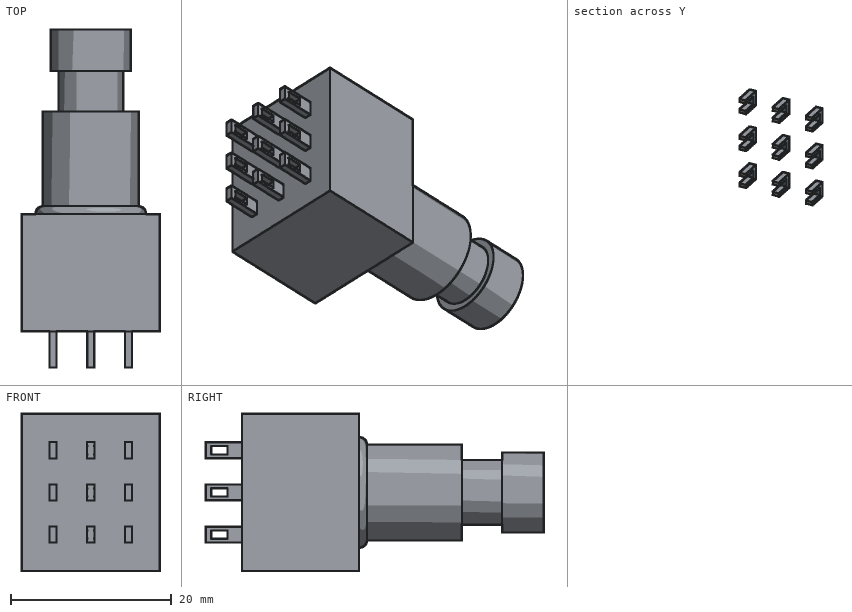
import cadquery as cq
import math


housing_width = 17.2
housing_depth = 14.6
housing_height = 19.6

bushing_radius = 6.0
bushing_length = 12.8
collar_radius = 6.9
collar_rounding = 1.0

neck_radius = 4.05
neck_length = 5.0
cap_radius = 5.0
cap_length = 5.2

terminal_thickness = 0.9
terminal_width = 2.0
terminal_length = 4.5
terminal_columns = 3
terminal_rows = 3
column_pitch = 4.7
row_pitch = 5.25
eye_length = 2.0
eye_width = 1.0
eye_end_margin = 0.7


def make_housing():
    return cq.Workplane("XY").box(
        housing_width, housing_depth, housing_height
    ).translate((0, -housing_depth / 2, 0))


def make_actuator():
    """Collar, bushing, neck and cap, revolved as one profile about the Y axis."""
    neck_end = bushing_length + neck_length
    cap_end = neck_end + cap_length
    arc_centre = collar_radius - collar_rounding
    rounding_at_45 = collar_rounding * math.sqrt(0.5)
    collar_top = math.sqrt(collar_rounding ** 2 - (bushing_radius - arc_centre) ** 2)
    return (
        cq.Workplane("XY")
        .lineTo(collar_radius, 0)
        .threePointArc(
            (arc_centre + rounding_at_45, rounding_at_45),
            (bushing_radius, collar_top),
        )
        .lineTo(bushing_radius, bushing_length)
        .lineTo(neck_radius, bushing_length)
        .lineTo(neck_radius, neck_end)
        .lineTo(cap_radius, neck_end)
        .lineTo(cap_radius, cap_end)
        .lineTo(0, cap_end)
        .close()
        .revolve(360, (0, 0, 0), (0, 1, 0))
    )


def make_terminal(x, z):
    """One flat terminal centred on (x, z) on the back face of the housing."""
    back_face = -housing_depth
    tip = back_face - terminal_length
    blade = cq.Workplane("XY").box(
        terminal_thickness, terminal_length, terminal_width
    ).translate((x, back_face - terminal_length / 2, z))
    eye = cq.Workplane("XY").box(
        terminal_thickness, eye_length, eye_width
    ).translate((x, tip + eye_end_margin + eye_length / 2, z))
    return blade.cut(eye)


result = make_housing().union(make_actuator())
for column in range(terminal_columns):
    for row in range(terminal_rows):
        terminal_x = (column - (terminal_columns - 1) / 2) * column_pitch
        terminal_z = (row - (terminal_rows - 1) / 2) * row_pitch
        result = result.union(make_terminal(terminal_x, terminal_z))